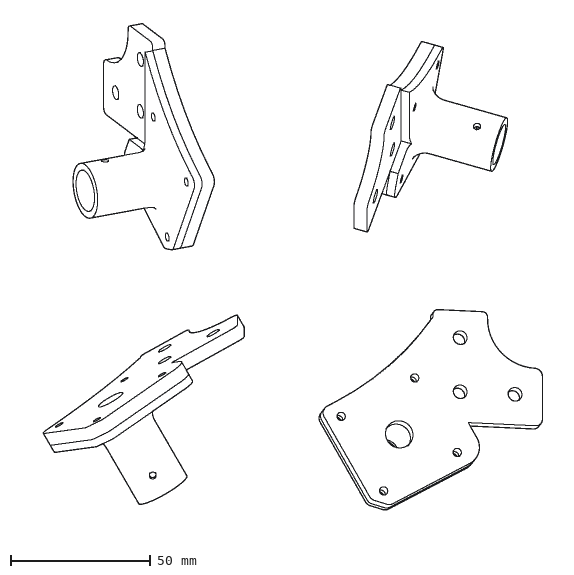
import cadquery as cq
import math


plate_thickness = 5.0
flange_thickness = 3.05
overall_depth = 38.0
tube_diameter = 20.0
socket_diameter = 15.0
socket_depth = 10.0
bore_diameter = 10.0
root_fillet = 6.5

pin_hole_diameter = 2.5
pin_hole_from_tip = 8.2
pin_hole_offset = -0.5

tilt = math.radians(-30)
screw_spacing = 31.0
screw_diameter = 3.0
square_half = 21.15
left_reach = 24.6
left_corner_radius = 7.0
bottom_chamfer = 5.0
bottom_corner_radius = 3.0
right_corner_radius = 3.0
top_straight_start = 14.5
edge_arc_top = 44.0

bracket_left = -52.3
bracket_width = 40.1
bracket_bottom = 5.5
bracket_top = 46.9
arm_step = 20.0
scoop_radius = 17.3
scoop_top_drop = 2.5
arm_tip_radius = 3.0
bracket_bottom_radius = 2.5
bracket_top_radius = 2.0
bracket_hole_diameter = 5.0
bracket_hole_spacing = 20.0
bracket_hole_inset = 10.0
bracket_hole_height = 11.3
notch_clearance = 0.1

bracket_right = bracket_left + bracket_width
flange_back = plate_thickness
tube_root = plate_thickness + flange_thickness


def tilted(u, v):
    """Turn a point of the tilted square into X, Z."""
    return (
        u * math.cos(tilt) - v * math.sin(tilt),
        u * math.sin(tilt) + v * math.cos(tilt),
    )


def plane_at(depth):
    """XZ plane, facing -Y, at a given depth in front of the back face."""
    return cq.Workplane("XZ", origin=(0, -depth, 0))


def corner_at(point):
    """Select the edge parallel to Y that passes through an X, Z point."""
    reach = 0.01
    return cq.selectors.BoxSelector(
        (point[0] - reach, -overall_depth, point[1] - reach),
        (point[0] + reach, overall_depth, point[1] + reach),
    )


def motor_slab(depth, thickness):
    """Tilted square whose top edge sweeps up in an arc to the bracket."""
    arc_start = tilted(top_straight_start, square_half)
    arc_end = (bracket_right, edge_arc_top)
    right_corner = tilted(square_half, square_half)
    left_corner = tilted(-left_reach, -square_half)
    chamfer_right = tilted(square_half, -square_half + bottom_chamfer)
    chamfer_left = tilted(square_half - bottom_chamfer, -square_half)
    left_edge_v = (bracket_bottom + left_reach * math.sin(tilt)) / math.cos(tilt)
    left_edge_end = tilted(-left_reach, left_edge_v)

    slab = (
        plane_at(depth)
        .moveTo(*right_corner)
        .lineTo(*arc_start)
        .tangentArcPoint(arc_end, relative=False)
        .lineTo(bracket_right, bracket_bottom)
        .lineTo(*left_edge_end)
        .lineTo(*left_corner)
        .lineTo(*chamfer_left)
        .lineTo(*chamfer_right)
        .close()
        .extrude(thickness)
    )
    slab = slab.edges(corner_at(right_corner)).edges("|Y").fillet(right_corner_radius)
    slab = slab.edges(corner_at(left_corner)).edges("|Y").fillet(left_corner_radius)
    for corner in (chamfer_left, chamfer_right):
        slab = slab.edges(corner_at(corner)).edges("|Y").fillet(bottom_corner_radius)
    return slab


def screw_holes():
    """Cutters for the four screws, long enough for both layers."""
    half = screw_spacing / 2
    centres = [tilted(u, v) for u in (-half, half) for v in (-half, half)]
    return plane_at(0).pushPoints(centres).circle(screw_diameter / 2).extrude(tube_root)


def bracket_slab():
    """Bracket whose scoop runs smoothly into the rounded corners at both ends."""
    arm_top = bracket_top - arm_step
    arm_end = bracket_left + arm_step
    slab = (
        plane_at(0)
        .moveTo(bracket_left, bracket_bottom)
        .lineTo(bracket_left, arm_top - arm_tip_radius)
        .radiusArc((bracket_left + arm_tip_radius, arm_top), arm_tip_radius)
        .radiusArc((arm_end, bracket_top - scoop_top_drop), -scoop_radius)
        .lineTo(arm_end, bracket_top - bracket_top_radius)
        .radiusArc((arm_end + bracket_top_radius, bracket_top), bracket_top_radius)
        .lineTo(bracket_right, bracket_top)
        .lineTo(bracket_right, bracket_bottom)
        .close()
        .extrude(plate_thickness)
    )
    bottom_corner = (bracket_left, bracket_bottom)
    top_corner = (bracket_right, bracket_top)
    slab = slab.edges(corner_at(bottom_corner)).edges("|Y").fillet(bracket_bottom_radius)
    return slab.edges(corner_at(top_corner)).edges("|Y").fillet(bracket_top_radius)


def bracket_holes():
    """Cutters for the three bracket holes, set out in an L."""
    x = bracket_left + bracket_hole_inset
    z = bracket_bottom + bracket_hole_height
    centres = [
        (x, z),
        (x + bracket_hole_spacing, z),
        (x + bracket_hole_spacing, z + bracket_hole_spacing),
    ]
    return plane_at(0).pushPoints(centres).circle(bracket_hole_diameter / 2).extrude(plate_thickness)


def make_plate():
    """Flat back plate joining the bracket and the tilted square."""
    centre_hole = plane_at(0).circle(bore_diameter / 2).extrude(plate_thickness)
    return (
        motor_slab(0, plate_thickness)
        .union(bracket_slab())
        .cut(screw_holes())
        .cut(bracket_holes())
        .cut(centre_hole)
    )


def flared_tube():
    """Tube with a concave flare at its root, turned about the Y axis."""
    tube_radius = tube_diameter / 2
    flare_radius = tube_radius + root_fillet
    return (
        cq.Workplane("XY")
        .moveTo(0, -flange_back)
        .lineTo(flare_radius, -flange_back)
        .lineTo(flare_radius, -tube_root)
        .radiusArc((tube_radius, -tube_root - root_fillet), -root_fillet)
        .lineTo(tube_radius, -overall_depth)
        .lineTo(0, -overall_depth)
        .close()
        .revolve(360, (0, 0, 0), (0, 1, 0))
    )


def bracket_notch():
    """Cutter that clears the flange and flare away from the bracket."""
    return (
        plane_at(flange_back)
        .moveTo(bracket_left, bracket_bottom)
        .rect(bracket_width + notch_clearance, bracket_top - bracket_bottom, centered=False)
        .extrude(overall_depth - flange_back)
    )


def make_tube_flange():
    """Flange with the flared tube, in front of the plate."""
    bore = plane_at(flange_back).circle(bore_diameter / 2).extrude(overall_depth - flange_back)
    socket = (
        plane_at(overall_depth - socket_depth)
        .circle(socket_diameter / 2)
        .extrude(socket_depth)
    )
    pin_hole = (
        cq.Workplane("XY")
        .center(pin_hole_offset, -overall_depth + pin_hole_from_tip)
        .circle(pin_hole_diameter / 2)
        .extrude(tube_diameter, both=True)
    )
    return (
        motor_slab(flange_back, flange_thickness)
        .union(flared_tube())
        .cut(bracket_notch())
        .cut(bore)
        .cut(socket)
        .cut(screw_holes())
        .cut(pin_hole)
    )


plate = make_plate()
tube_flange = make_tube_flange()

result = cq.Compound.makeCompound([plate.val(), tube_flange.val()])